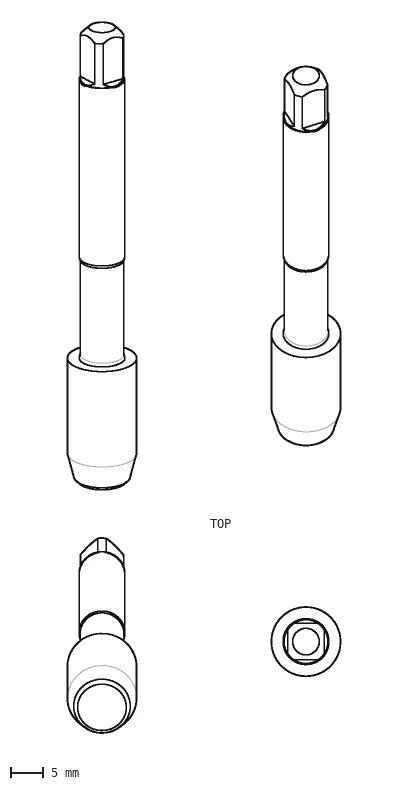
import cadquery as cq

total_length = 75.2
head_length = 20.3
neck_top = 36.6
shank_top = 66.55

head_diameter = 10.6
lead_length = 4.5
nose_diameter = 8.65
nose_chamfer = 0.6

shank_diameter = 7.0
neck_diameter = 6.7
neck_flare_length = 0.6
neck_step_length = 0.45

drive_diameter = 6.7
drive_across_flats = 5.6
drive_tip_diameter = 4.05
flat_bottom = 67.15


def revolve_profile(points):
    """Revolve an (r, z) outline about the Z axis."""
    return cq.Workplane("XZ").polyline(points).close().revolve(360, (0, 0), (0, 1))


def make_head():
    """Cylindrical head with a tapered lead and a chamfered nose."""
    head_radius = head_diameter / 2
    nose_radius = nose_diameter / 2
    return revolve_profile([
        (0, 0),
        (nose_radius - nose_chamfer, 0),
        (nose_radius, nose_chamfer),
        (head_radius, lead_length),
        (head_radius, head_length),
        (0, head_length),
    ])


def make_flat_cutter():
    """Cutter for the +X flat, running out below along a 45 degree slope."""
    flat = drive_across_flats / 2
    outside = shank_diameter
    return (
        cq.Workplane("XZ")
        .polyline([
            (flat, flat_bottom),
            (outside, flat_bottom - (outside - flat)),
            (outside, total_length),
            (flat, total_length),
        ])
        .close()
        .extrude(shank_diameter, both=True)
    )


def make_shank():
    """Necked shank standing on the head, ending in a square drive."""
    shank_radius = shank_diameter / 2
    neck_radius = neck_diameter / 2
    drive_radius = drive_diameter / 2
    tip_radius = drive_tip_diameter / 2
    tip_chamfer = drive_radius - tip_radius
    shank = revolve_profile([
        (0, head_length),
        (shank_radius, head_length),
        (neck_radius, head_length + neck_flare_length),
        (neck_radius, neck_top),
        (shank_radius, neck_top + neck_step_length),
        (shank_radius, shank_top),
        (drive_radius, shank_top),
        (drive_radius, total_length - tip_chamfer),
        (tip_radius, total_length),
        (0, total_length),
    ])
    cutter = make_flat_cutter()
    for angle in (0, 90, 180, 270):
        shank = shank.cut(cutter.rotate((0, 0, 0), (0, 0, 1), angle))
    return shank


head = make_head()
shank = make_shank()
result = cq.Compound.makeCompound([head.val(), shank.val()])